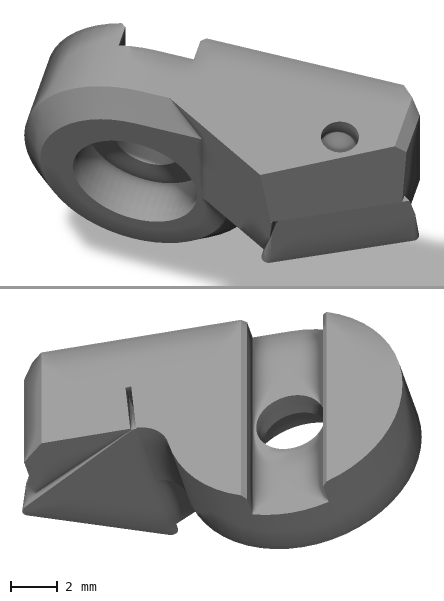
import cadquery as cq
import math

boss_radius = 5.2
boss_depth = 4.45
front_chamfer = 1.0
bore_radius = 1.5
counterbore_radius = 2.75
counterbore_depth = 2.1
neck_fillet = 1.5
neck_length = 7

slot_width = 3.32
slot_depth = 1.2
slot_chamfer = 0.21

arm_end = 11.62
wall_start = 2.98
wall_reach = 8.75
wall_angle = 30
end_top_chamfer = 0.47
end_back_chamfer = 1.0

tilt = math.radians(5)
seat_x = 6.39
insert_thickness = 2.43
insert_relief = 10.7
nose_radius = 0.3
nose_x = 0.18
nose_y = -6.67
core_side = 6.32
flank_relief = 14
pocket_wall_x = 0.09

screw_radius = 0.8
screw_x = 1.92
screw_y = -3.38
screw_recess = 0.68
screw_chamfer = 0.09
head_radius = 1.63
head_depth = head_radius - screw_radius

corner_angles = (240, 0, 120)
margin = 10.5

core_height = core_side * math.sqrt(3) / 2
inradius = core_height / 3 + nose_radius
top_inradius = inradius - insert_thickness * math.tan(math.radians(insert_relief))
centre_x = nose_x + core_height / 3
centre_y = nose_y + core_side / 2

tilted = cq.Plane(
    origin=(seat_x, 0, 0),
    xDir=(math.cos(tilt), 0, -math.sin(tilt)),
    normal=(math.sin(tilt), 0, math.cos(tilt)),
)


def triangle_points(inner_radius):
    """Corners of the triangle about the insert centre: front, right, back."""
    reach = 2 * inner_radius
    angles = [math.radians(a) for a in corner_angles]
    return [(centre_x + reach * math.cos(a), centre_y + reach * math.sin(a)) for a in angles]


def make_insert():
    """Triangle narrowing upward, with conical noses that run out to sharp corners."""
    nose_run_out = nose_radius / math.tan(math.radians(insert_relief))
    sharp = (
        cq.Workplane(tilted).polyline(triangle_points(inradius)).close()
        .extrude(insert_thickness, taper=insert_relief)
    )
    for angle, (x, y) in zip(corner_angles, triangle_points(inradius - nose_radius)):
        direction = math.radians(angle)
        flat_x = nose_radius / 2
        flat_y = nose_radius * math.sqrt(3) / 2
        corner_plane = cq.Plane(
            origin=tilted.toWorldCoords((x, y, 0)),
            xDir=tilted.xDir * math.cos(direction) + tilted.yDir * math.sin(direction),
            normal=tilted.zDir,
        )
        corner = (
            cq.Workplane(corner_plane)
            .moveTo(0, 0).lineTo(flat_x, flat_y)
            .lineTo(2 * nose_radius, flat_y).lineTo(2 * nose_radius, -flat_y)
            .lineTo(flat_x, -flat_y).close().extrude(nose_run_out)
        )
        cone_plane = cq.Plane(
            origin=corner_plane.origin, xDir=-corner_plane.xDir, normal=corner_plane.yDir)
        cone = (
            cq.Workplane(cone_plane)
            .polyline([(0, 0), (nose_radius, 0), (0, nose_run_out)]).close()
            .revolve(360, (0, 0), (0, 1))
        )
        sharp = sharp.cut(corner.cut(cone))
    return sharp


def make_screw_blank():
    """Countersunk screw from the insert's lower plane up to its end inside the holder hole."""
    length = boss_radius / math.cos(tilt) + screw_x * math.tan(tilt) - screw_recess
    head = cq.Workplane(cq.Solid.makeCone(
        head_radius, screw_radius, head_depth,
        tilted.toWorldCoords((screw_x, screw_y, 0)), tilted.zDir))
    shank = (
        cq.Workplane(tilted).center(screw_x, screw_y)
        .circle(screw_radius).extrude(length)
    )
    return shank.union(head)


def make_boss():
    """Boss and neck with a chamfer along the exposed front edge."""
    fillet_x = math.sqrt((boss_radius + neck_fillet) ** 2 - neck_fillet ** 2)
    tangent = math.asin(neck_fillet / (boss_radius + neck_fillet))
    start = (boss_radius * math.cos(tangent), -boss_radius * math.sin(tangent))
    half = (tangent + math.pi / 2) / 2
    middle = (fillet_x - neck_fillet * math.cos(half), -neck_fillet + neck_fillet * math.sin(half))
    outline = (
        cq.Workplane("XZ").moveTo(0, boss_radius)
        .threePointArc((-boss_radius, 0), (0, -boss_radius))
        .threePointArc(
            (boss_radius * math.cos(math.pi / 4), -boss_radius * math.sin(math.pi / 4)), start)
        .threePointArc(middle, (fillet_x, 0))
        .lineTo(neck_length, 0)
        .lineTo(neck_length, boss_radius)
        .close()
    )
    return outline.extrude(boss_depth).faces("<Y").edges("not >X").chamfer(front_chamfer)


def make_arm():
    """Block with a slanted front wall and a chamfered far end."""
    slope = math.tan(math.radians(wall_angle))
    wall_back = -boss_depth + wall_start * slope
    wall_front = wall_back - wall_reach * slope
    return (
        cq.Workplane("XY")
        .polyline([(0, 0), (0, wall_back), (wall_reach, wall_front), (arm_end, wall_front), (arm_end, 0)])
        .close().extrude(boss_radius)
        .edges(">X and >Y").chamfer(end_back_chamfer)
        .faces(">Z").edges(">X").chamfer(end_top_chamfer)
    )


def make_flank_cut():
    """Everything in front of the holder face that rises above the insert edge."""
    outward = math.radians(-60)
    edge_plane = cq.Plane(
        origin=tilted.toWorldCoords((centre_x, centre_y, insert_thickness)),
        xDir=tilted.xDir * math.cos(outward) + tilted.yDir * math.sin(outward),
        normal=tilted.yDir * math.cos(outward) - tilted.xDir * math.sin(outward),
    )
    lean = margin * math.tan(math.radians(flank_relief))
    return (
        cq.Workplane(edge_plane)
        .polyline([(top_inradius, 0), (top_inradius - lean, -margin), (margin, -margin), (margin, 0)])
        .close().extrude(margin, both=True)
    )


def make_pocket():
    """Insert seat, open below and in front, with a clearance along its side wall."""
    front, right, back = triangle_points(top_inradius)
    return (
        cq.Workplane(tilted).workplane(offset=-margin)
        .polyline([(pocket_wall_x, margin), (back[0], margin), back, right,
                   (right[0] + margin, right[1]), (right[0] + margin, -margin), (pocket_wall_x, -margin)])
        .close().extrude(margin + insert_thickness)
    )


def make_slot():
    """Key slot running through the boss along Z, with chamfered mouth."""
    half = slot_width / 2
    mouth = half + slot_chamfer
    return (
        cq.Workplane("XY")
        .polyline([(-mouth, 0), (-half, -slot_chamfer), (-half, -slot_depth),
                   (half, -slot_depth), (half, -slot_chamfer), (mouth, 0)])
        .close().extrude(margin, both=True)
    )


def make_holder(insert):
    bore = cq.Workplane("XZ").circle(bore_radius).extrude(boss_depth)
    counterbore = (
        cq.Workplane("XZ", origin=(0, -boss_depth, 0))
        .circle(counterbore_radius).extrude(-counterbore_depth)
    )
    screw_hole = cq.Workplane(tilted).center(screw_x, screw_y).circle(screw_radius).extrude(margin)
    body = make_boss().union(make_arm())
    for tool in (make_flank_cut(), make_pocket(), insert, screw_hole, make_slot(), bore, counterbore):
        body = body.cut(tool)
    return body


plain_insert = make_insert()
screw_blank = make_screw_blank()
holder = make_holder(plain_insert)
insert = plain_insert.cut(screw_blank)
screw = screw_blank.faces(">Z").chamfer(screw_chamfer)

result = cq.Compound.makeCompound([body.solids().val() for body in (holder, insert, screw)])